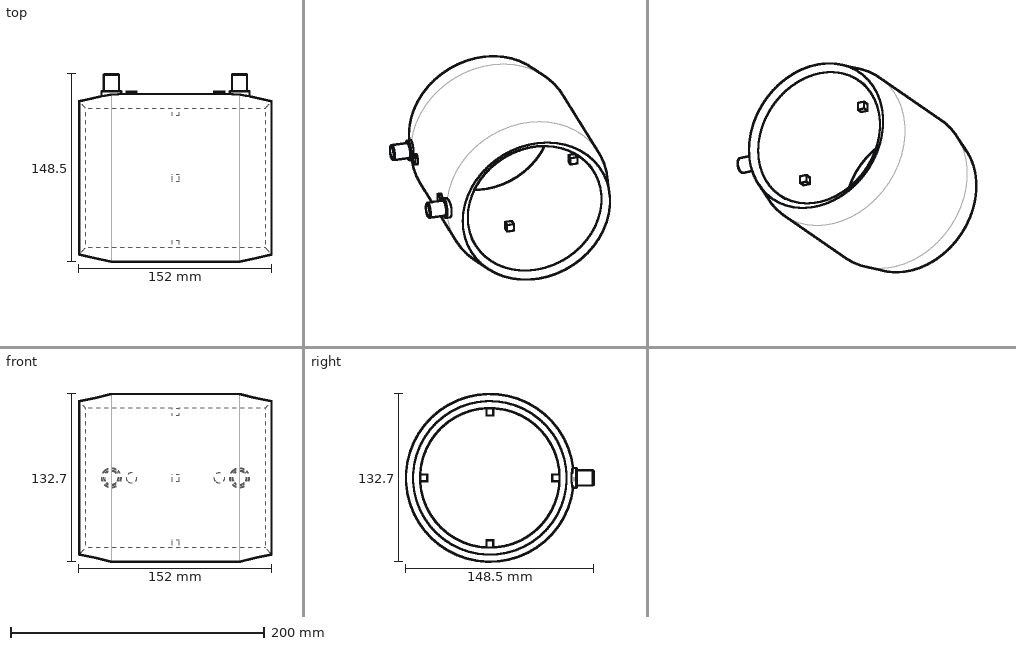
import cadquery as cq

length = 152.0
outer_diameter = 132.7
outer_radius = outer_diameter / 2
end_radius = 60.6
bore_radius = 55.0
taper_length = 25.4

mouth_depth = 5.0

post_radius = 6.1
overall_width = 148.5
post_tip = overall_width - outer_radius
post_chamfer = 0.9
collar_radius = 7.9
collar_top = 68.7
collar_chamfer = 0.6

indicator_radius = 4.1
indicator_offset = 34.7
indicator_top = 68.2

stop_count = 4
stop_width = 5.6
stop_reach = 5.8

root_radius = (bore_radius + end_radius) / 2


def sleeve():
    half_length = length / 2
    taper_start = half_length - taper_length
    return (
        cq.Workplane("XY")
        .moveTo(mouth_depth - half_length, bore_radius)
        .lineTo(-half_length, end_radius)
        .lineTo(-taper_start, outer_radius)
        .lineTo(taper_start, outer_radius)
        .lineTo(half_length, end_radius)
        .lineTo(half_length - mouth_depth, bore_radius)
        .close()
        .revolve(360, (0, 0, 0), (1, 0, 0))
    )


def peg(x, radius, tip):
    """Round peg pointing along +Y, from inside the wall out to the tip."""
    return (
        cq.Workplane("XZ", origin=(x, root_radius, 0))
        .circle(radius)
        .extrude(root_radius - tip)
    )


def terminal(x):
    post = peg(x, post_radius, post_tip).faces(">Y").chamfer(post_chamfer)
    collar = peg(x, collar_radius, collar_top).faces(">Y").chamfer(collar_chamfer)
    return post.union(collar)


def stop_block(angle):
    inner_radius = bore_radius - stop_reach
    return (
        cq.Workplane("XY")
        .box(stop_width, root_radius - inner_radius, stop_width)
        .translate((0, (root_radius + inner_radius) / 2, 0))
        .rotate((0, 0, 0), (1, 0, 0), angle)
    )


result = sleeve()
for side in (-1, 1):
    result = result.union(terminal(side * (length / 2 - taper_length)))
    result = result.union(peg(side * indicator_offset, indicator_radius, indicator_top))
for index in range(stop_count):
    result = result.union(stop_block(index * 360 / stop_count))